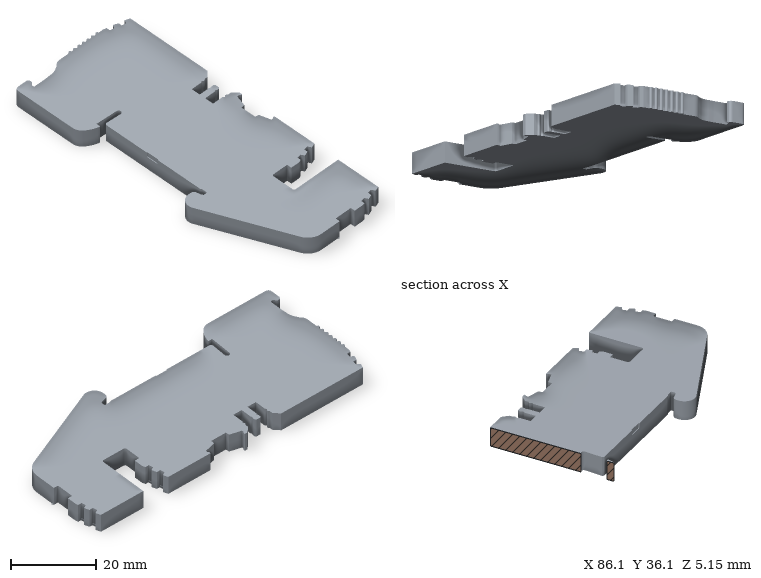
import cadquery as cq
import math


HEIGHT = 36.07
THICKNESS = 5.15
OVERALL_LENGTH = 86.1

LEFT_WALL_X = 0.48
RIGHT_WALL_X = 85.8
MIDDLE_WALL_X = 64.95

GRIP_COUNT = 2
GRIP_TOP_X = 2.33
GRIP_STEP_X = 0.8
GRIP_STEP_Y = 3.12
GRIP_LIP_X = 0.5
GRIP_LIP_DROP = 1.37
GRIP_FLOOR_X = 0.5
GRIP_FLOOR_DROP = 1.9
GRIP_FLOOR_END_X = 0.26
GRIP_WALL_DROP = 0.8
RIGHT_GRIP_MIRROR = 86.35
MIDDLE_GRIP_MIRROR = 65.35
LEDGE_THICKNESS = 0.55
LEDGE_WIDTH = 0.2

RIB_COUNT = 7
RIB_TOP_Y = 26.97
RIB_PITCH = 1.5
RIB_HALF_HEIGHT = 0.42

WAIST_TOP_Y = 14.3
WAIST_X = 2.7
WAIST_BOTTOM_Y = 7.3
WAIST_UPPER_ARC_MIDDLE = (0.78, 13.2)
WAIST_UPPER_ARC_END = (1.4, 12.5)
WAIST_LOWER_ARC_START = (2.15, 11.2)
WAIST_LOWER_ARC_MIDDLE = (2.5, 10.1)
WAIST_LOWER_ARC_END = (2.6, 8.85)

HOOK_TOP_Y = 4.45
HOOK_FLOOR_Y = 3.65
HOOK_FLOOR_X = 1.95
HOOK_TOP_X = 1.2
HOOK_CORNER = 0.75
FOOT_CORNER = 1.0
FOOT_SIDE_X = 23.15
FOOT_TOP_Y = 4.95
FOOT_BOTTOM_END_X = 19.0
HEEL_LOWER_ARC_MIDDLE = (20.2, 0.25)
HEEL_ARC_JOINT = (21.25, 0.97)
HEEL_UPPER_ARC_MIDDLE = (22.4, 2.6)
HEEL_TOP_Y = 4.5

FLEX_LEFT_X = 22.0
FLEX_RIGHT_X = 23.4
FLEX_LEAN = 0.27
FLEX_ARC_Y = 11.35
FLEX_TOP_Y = 12.0
FLEX_CHAMFER = 0.35

UNDERSIDE_Y = 6.25
LATCH_RAMP_START_X = 54.7
LATCH_RAMP_END_X = 55.4
LATCH_GAP_TOP_Y = 6.5
LATCH_GAP_END_X = 56.85
LATCH_GAP_BOTTOM_Y = 5.35
LATCH_NOSE_UPPER = (56.3, 5.05)
LATCH_NOSE_LOWER = (55.0, 4.75)
LATCH_NOSE_ARC_MIDDLE = (54.4, 4.35)
LATCH_NOSE_END_Y = 3.6
LATCH_X = 57.0
LATCH_Y = 3.0
LATCH_RADIUS = 2.8
SLOPE_END = (83.0, 11.15)

RECESS_X = 84.5
RECESS_BOTTOM_Y = 21.4
RECESS_TOP_Y = 26.4

SLOT_LEFT_X = 63.55
SLOT_RIGHT_X = 70.8
SLOT_CORNER = 0.5

SEAT_CENTRE_X = 44.47
SEAT_LIP_X = 39.15
SEAT_LIP_Y = 35.65
SEAT_UNDERCUT_X = 38.85
SEAT_UNDERCUT_Y = 34.75
SEAT_RAMP_END = (42.1, 33.85)
SEAT_FLOOR_END = (42.2, 32.8)

BRIDGE_CENTRE_X = 33.05
BRIDGE_FLOOR_Y = 29.05
BRIDGE_HALF_WIDTH = 3.5
PIN_HALF_WIDTH = 0.9
PIN_TOP_Y = 33.95
PIN_CHAMFER = 0.25
DETENT_Y = 32.6
DETENT_HALF_HEIGHT = 0.35
PIN_DETENT_DEPTH = 0.25
WALL_DETENT_DEPTH = 0.35
BRIDGE_LEAD_OFFSET = 0.3
BRIDGE_LEAD_BOTTOM_Y = 33.4
BRIDGE_LEAD_Y = 33.6
BRIDGE_CHAMFER_Y = 34.6
BRIDGE_CHAMFER_WIDTH = 1.45

POCKET_LEFT_X = 37.35
POCKET_RIGHT_X = 40.85
POCKET_HEIGHT = 1.35
POCKET_DEPTH = 0.2
POCKET_FILLET = 0.35

TAB_Y = 20.95
TAB_WIDTH = 0.25
TAB_THICKNESS = 0.15


def mirrored(points, axis_sum):
    """Mirror points about the upright line X = axis_sum / 2."""
    return [(axis_sum - x, y) for x, y in points]


def grip_start(index):
    return GRIP_TOP_X - index * GRIP_STEP_X, HEIGHT - index * GRIP_STEP_Y


def grip_floor(index):
    """Upper and lower end of one notch floor on the left side."""
    x, y = grip_start(index)
    return [(x + GRIP_FLOOR_X, y - GRIP_FLOOR_DROP), (x + GRIP_FLOOR_END_X, y - GRIP_STEP_Y)]


def grip_points():
    """Left grip from the top edge down to its last step."""
    points = []
    for index in range(GRIP_COUNT):
        x, y = grip_start(index)
        points += [(x, y), (x - GRIP_LIP_X, y - GRIP_LIP_DROP)]
        points += grip_floor(index)
    points.append(grip_start(GRIP_COUNT))
    return points


def add_ribs(outline):
    """Continue the outline down the left wall along its ribs."""
    for index in range(RIB_COUNT):
        rib_y = RIB_TOP_Y - index * RIB_PITCH
        outline = outline.lineTo(LEFT_WALL_X, rib_y + RIB_HALF_HEIGHT)
        outline = outline.threePointArc((0, rib_y), (LEFT_WALL_X, rib_y - RIB_HALF_HEIGHT))
    return outline


def detent_points(x, depth):
    """V-shaped detent in an upright wall, from bottom to top."""
    return [
        (x, DETENT_Y - DETENT_HALF_HEIGHT),
        (x + depth, DETENT_Y),
        (x, DETENT_Y + DETENT_HALF_HEIGHT),
    ]


def bridge_points():
    """Both bridge slots with the pin between them, from right to left."""
    wall_x = BRIDGE_CENTRE_X + BRIDGE_HALF_WIDTH
    lead_x = wall_x + BRIDGE_LEAD_OFFSET
    pin_x = BRIDGE_CENTRE_X + PIN_HALF_WIDTH
    right_half = [(pin_x - PIN_CHAMFER, PIN_TOP_Y), (pin_x, PIN_TOP_Y - PIN_CHAMFER)]
    right_half += reversed(detent_points(pin_x, -PIN_DETENT_DEPTH))
    right_half += [(pin_x, BRIDGE_FLOOR_Y), (wall_x, BRIDGE_FLOOR_Y)]
    right_half += detent_points(wall_x, WALL_DETENT_DEPTH)
    right_half += [
        (wall_x, BRIDGE_LEAD_BOTTOM_Y),
        (lead_x, BRIDGE_LEAD_Y),
        (lead_x, BRIDGE_CHAMFER_Y),
        (lead_x + BRIDGE_CHAMFER_WIDTH, HEIGHT),
    ]
    return right_half[::-1] + mirrored(right_half, 2 * BRIDGE_CENTRE_X)


def seat_points():
    """Undercut marker seat, from right to left."""
    left_half = [
        (SEAT_LIP_X, HEIGHT),
        (SEAT_LIP_X, SEAT_LIP_Y),
        (SEAT_UNDERCUT_X, SEAT_LIP_Y - (SEAT_LIP_X - SEAT_UNDERCUT_X)),
        (SEAT_UNDERCUT_X, SEAT_UNDERCUT_Y),
        SEAT_RAMP_END,
        SEAT_FLOOR_END,
    ]
    return mirrored(left_half, 2 * SEAT_CENTRE_X) + left_half[::-1]


def housing():
    run = SLOPE_END[0] - LATCH_X
    rise = SLOPE_END[1] - LATCH_Y
    slope_angle = math.atan2(rise, run) + math.asin(LATCH_RADIUS / math.hypot(run, rise))
    latch_left_x = LATCH_X - LATCH_RADIUS
    latch_tangent = (
        LATCH_X + LATCH_RADIUS * math.sin(slope_angle),
        LATCH_Y - LATCH_RADIUS * math.cos(slope_angle),
    )
    wall_gap = RIGHT_WALL_X - SLOPE_END[0]
    wall_arc_end_y = SLOPE_END[1] + wall_gap * math.tan(slope_angle) + wall_gap / math.cos(slope_angle)

    outline = cq.Workplane("XY").moveTo(*grip_start(0))
    outline = outline.polyline(grip_points()[1:], includeCurrent=True)
    outline = outline.lineTo(LEFT_WALL_X, grip_start(GRIP_COUNT)[1] - GRIP_WALL_DROP)
    outline = add_ribs(outline)

    outline = outline.lineTo(LEFT_WALL_X, WAIST_TOP_Y)
    outline = outline.threePointArc(WAIST_UPPER_ARC_MIDDLE, WAIST_UPPER_ARC_END)
    outline = outline.lineTo(*WAIST_LOWER_ARC_START)
    outline = outline.threePointArc(WAIST_LOWER_ARC_MIDDLE, WAIST_LOWER_ARC_END)
    outline = outline.lineTo(WAIST_X, WAIST_BOTTOM_Y)
    outline = outline.lineTo(WAIST_X, HOOK_FLOOR_Y)
    outline = outline.lineTo(HOOK_FLOOR_X, HOOK_FLOOR_Y)
    outline = outline.lineTo(HOOK_TOP_X, HOOK_TOP_Y)
    outline = outline.lineTo(HOOK_CORNER, HOOK_TOP_Y)
    outline = outline.radiusArc((0, HOOK_TOP_Y - HOOK_CORNER), -HOOK_CORNER)

    outline = outline.lineTo(0, FOOT_CORNER)
    outline = outline.radiusArc((FOOT_CORNER, 0), -FOOT_CORNER)
    outline = outline.lineTo(FOOT_BOTTOM_END_X, 0)
    outline = outline.threePointArc(HEEL_LOWER_ARC_MIDDLE, HEEL_ARC_JOINT)
    outline = outline.threePointArc(HEEL_UPPER_ARC_MIDDLE, (FOOT_SIDE_X, HEEL_TOP_Y))
    outline = outline.lineTo(FOOT_SIDE_X, FOOT_TOP_Y)

    outline = outline.lineTo(FLEX_LEFT_X, FOOT_TOP_Y)
    outline = outline.lineTo(FLEX_LEFT_X + FLEX_LEAN, FLEX_ARC_Y)
    flex_middle_x = (FLEX_LEFT_X + FLEX_RIGHT_X) / 2 + FLEX_LEAN
    outline = outline.threePointArc((flex_middle_x, FLEX_TOP_Y), (FLEX_RIGHT_X + FLEX_LEAN, FLEX_ARC_Y))
    outline = outline.lineTo(FLEX_RIGHT_X, UNDERSIDE_Y + FLEX_CHAMFER)
    outline = outline.lineTo(FLEX_RIGHT_X + FLEX_CHAMFER, UNDERSIDE_Y)

    outline = outline.lineTo(LATCH_RAMP_START_X, UNDERSIDE_Y)
    outline = outline.lineTo(LATCH_RAMP_END_X, LATCH_GAP_TOP_Y)
    outline = outline.lineTo(LATCH_GAP_END_X, LATCH_GAP_TOP_Y)
    outline = outline.lineTo(LATCH_GAP_END_X, LATCH_GAP_BOTTOM_Y)
    outline = outline.lineTo(*LATCH_NOSE_UPPER)
    outline = outline.lineTo(*LATCH_NOSE_LOWER)
    outline = outline.threePointArc(LATCH_NOSE_ARC_MIDDLE, (latch_left_x, LATCH_NOSE_END_Y))
    outline = outline.lineTo(latch_left_x, LATCH_Y)
    outline = outline.threePointArc((LATCH_X, LATCH_Y - LATCH_RADIUS), latch_tangent)
    outline = outline.lineTo(*SLOPE_END)
    outline = outline.tangentArcPoint((RIGHT_WALL_X, wall_arc_end_y), relative=False)

    outline = outline.lineTo(RIGHT_WALL_X, RECESS_BOTTOM_Y)
    outline = outline.lineTo(RECESS_X, RECESS_BOTTOM_Y)
    outline = outline.lineTo(RECESS_X, RECESS_TOP_Y)
    outline = outline.lineTo(RIGHT_WALL_X, RECESS_TOP_Y)
    outline = outline.lineTo(RIGHT_WALL_X, grip_start(GRIP_COUNT)[1] - GRIP_WALL_DROP)
    outline = outline.polyline(mirrored(grip_points()[::-1], RIGHT_GRIP_MIRROR), includeCurrent=True)

    outline = outline.lineTo(SLOT_RIGHT_X, HEIGHT)
    outline = outline.lineTo(SLOT_RIGHT_X, RECESS_BOTTOM_Y + SLOT_CORNER)
    outline = outline.radiusArc((SLOT_RIGHT_X - SLOT_CORNER, RECESS_BOTTOM_Y), SLOT_CORNER)
    outline = outline.lineTo(SLOT_LEFT_X + SLOT_CORNER, RECESS_BOTTOM_Y)
    outline = outline.radiusArc((SLOT_LEFT_X, RECESS_BOTTOM_Y + SLOT_CORNER), SLOT_CORNER)
    outline = outline.lineTo(SLOT_LEFT_X, RECESS_TOP_Y)
    outline = outline.lineTo(MIDDLE_WALL_X, RECESS_TOP_Y)
    outline = outline.lineTo(MIDDLE_WALL_X, grip_start(GRIP_COUNT)[1] - GRIP_WALL_DROP)
    outline = outline.polyline(mirrored(grip_points()[::-1], MIDDLE_GRIP_MIRROR), includeCurrent=True)

    outline = outline.polyline(seat_points(), includeCurrent=True)
    outline = outline.polyline(bridge_points(), includeCurrent=True)
    return outline.close().extrude(THICKNESS)


def grip_ledges():
    """Thin ledges along the notch floors, flush with the back face."""
    ledges = cq.Workplane("XY")
    for index in range(GRIP_COUNT):
        upper, lower = grip_floor(index)
        left = [
            upper,
            (upper[0] - LEDGE_WIDTH, upper[1]),
            (lower[0] - LEDGE_WIDTH, lower[1]),
            lower,
        ]
        outlines = [left]
        for axis_sum in (MIDDLE_GRIP_MIRROR, RIGHT_GRIP_MIRROR):
            outlines.append(mirrored(left, axis_sum))
        for points in outlines:
            ledges = ledges.add(cq.Workplane("XY").polyline(points).close().extrude(LEDGE_THICKNESS))
    return ledges.combine()


def underside_pocket():
    width = POCKET_RIGHT_X - POCKET_LEFT_X
    pocket = cq.Workplane("XY").box(width, POCKET_DEPTH, POCKET_HEIGHT, centered=False)
    pocket = pocket.edges("|Y and <Z").fillet(POCKET_FILLET)
    return pocket.translate((POCKET_LEFT_X, UNDERSIDE_Y, THICKNESS - POCKET_HEIGHT))


def wall_tab():
    length = OVERALL_LENGTH - RECESS_X
    tab = cq.Workplane("XY").box(length, TAB_WIDTH, TAB_THICKNESS, centered=False)
    return tab.translate((RECESS_X, TAB_Y - TAB_WIDTH / 2, 0))


result = housing().union(grip_ledges()).cut(underside_pocket()).union(wall_tab())